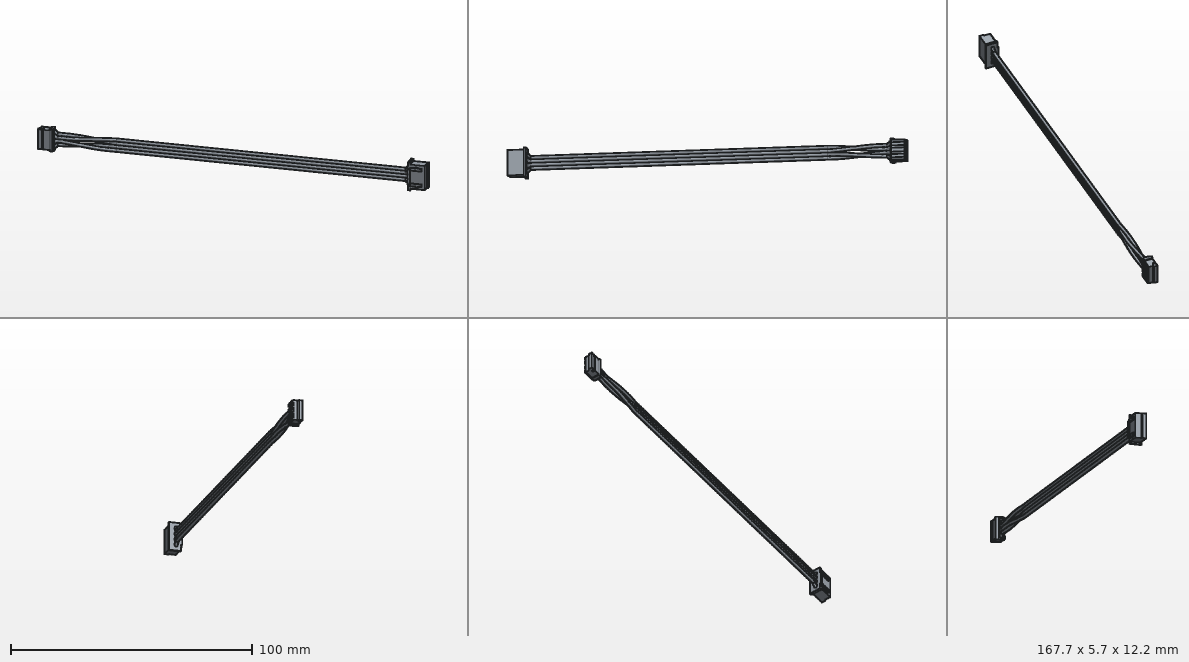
import cadquery as cq
import math


total_length = 167.7

wire_diameter = 1.5
wire_pitch = 1.5
left_contact_pitch = 2.2
right_contact_pitch = 2.3
fan_end_height = 2.0
fan_length = 1.5
twist_length = 25.2
cable_y = -0.2
wire_places = (-1.5, -0.5, 0.5, 1.5)

left_length = 6.7
left_half_height = 4.4
left_front_y = -2.3
left_back_y = 1.3
lip_length = 0.7
lip_top_y = -0.8
lip_slope_top_y = -0.3
groove_start_x = 1.7
groove_width = 0.7
groove_depth = 1.2
collar_start_x = 5.0
collar_ramp = 0.7
collar_taper = 0.5
collar_half_height = 4.9
collar_start_half_height = 4.7
collar_front_y = -2.5
collar_end_front_y = -1.3
collar_end_back_y = 0.8
rib_height = 0.5
rib_width = 1.0
inner_rib_z = 1.3
outer_rib_z = 3.7

flange_start_x = 159.9
flange_thickness = 1.0
flange_half_height = 6.12
plug_half_height = 5.4
plug_half_depth = 2.3
flange_back_y = 2.9
nose_length = 0.5
nose_front_y = 0.7
nose_slope_front_y = 0.3
tab_half_height = 3.4
rail_height = 0.5
rail_end_x = 165.9
rail_inner_z = 2.9
rail_outer_z = 4.0
bump_start_x = 163.2
bump_length = 1.0
bump_outer_z = 4.4

taper_start_x = left_length - collar_taper
flange_end_x = flange_start_x + flange_thickness
rail_front_y = -plug_half_depth - rail_height
twist_start_x = left_length + fan_length
twist_end_x = twist_start_x + twist_length
fan_start_x = flange_start_x - fan_length


def block(x_range, y_range, z_range):
    """A box between the given limits."""
    (x0, x1), (y0, y1), (z0, z1) = x_range, y_range, z_range
    return cq.Workplane("XY").box(x1 - x0, y1 - y0, z1 - z0, centered=False).translate((x0, y0, z0))


def section(x, y_range, half_height):
    """A rectangle across the X axis, as a wire to loft."""
    y0, y1 = y_range
    corners = [(x, y0, -half_height), (x, y1, -half_height), (x, y1, half_height), (x, y0, half_height)]
    return cq.Wire.makePolygon([cq.Vector(*corner) for corner in corners], close=True)


def make_left_housing():
    groove_end_x = groove_start_x + groove_width
    outline = [
        (0, left_front_y),
        (groove_start_x, left_front_y),
        (groove_start_x, left_front_y + groove_depth),
        (groove_end_x, left_front_y + groove_depth),
        (groove_end_x, left_front_y),
        (taper_start_x, left_front_y),
        (taper_start_x, left_back_y),
        (lip_length, left_back_y),
        (lip_length, lip_slope_top_y),
        (0, lip_top_y),
    ]
    housing = cq.Workplane("XY").polyline(outline).close().extrude(left_half_height, both=True)

    for rib_z in (-outer_rib_z, -inner_rib_z, inner_rib_z, outer_rib_z):
        rib = block(
            (lip_length, taper_start_x),
            (left_back_y, left_back_y + rib_height),
            (rib_z - rib_width / 2, rib_z + rib_width / 2),
        )
        housing = housing.union(rib)

    collar_y = (collar_front_y, left_back_y)
    collar_sections = [
        section(collar_start_x, (left_front_y, left_back_y), collar_start_half_height),
        section(collar_start_x + collar_ramp, collar_y, collar_half_height),
        section(taper_start_x, collar_y, collar_half_height),
        section(left_length, (collar_end_front_y, collar_end_back_y), collar_half_height),
    ]
    for start, end in zip(collar_sections, collar_sections[1:]):
        housing = housing.union(cq.Workplane(cq.Solid.makeLoft([start, end], True)))
    return housing


def make_right_housing():
    outline = [
        (flange_start_x, -plug_half_depth),
        (total_length - nose_length, -plug_half_depth),
        (total_length - nose_length, nose_slope_front_y),
        (total_length, nose_front_y),
        (total_length, plug_half_depth),
        (flange_start_x, plug_half_depth),
    ]
    housing = cq.Workplane("XY").polyline(outline).close().extrude(plug_half_height, both=True)

    flange_x = (flange_start_x, flange_end_x)
    flange = block(flange_x, (-plug_half_depth, flange_back_y), (-flange_half_height, flange_half_height))
    rail_y = (rail_front_y, -plug_half_depth)
    tab = block(flange_x, rail_y, (-tab_half_height, tab_half_height))
    housing = housing.union(flange).union(tab)

    rail = block((flange_end_x, rail_end_x), rail_y, (rail_inner_z, rail_outer_z))
    bump = block((bump_start_x, bump_start_x + bump_length), rail_y, (rail_outer_z, bump_outer_z))
    rail = rail.union(bump)
    return housing.union(rail).union(rail.mirror("XY"))


def wire_section(x, z, height=wire_diameter):
    """The outline of a wire across the X axis: round, or an upright oval when a height is given."""
    outline = cq.Workplane("YZ", origin=(x, cable_y, z)).ellipse(wire_diameter / 2, height / 2)
    return outline.wires().val()


def wire_between(start, end):
    return cq.Workplane(cq.Solid.makeLoft([start, end], True))


def twisted_wire(start_z):
    """A half turn about the middle of the wire's pair; the outer wire passes behind."""
    pair_z = math.copysign(wire_pitch, start_z)
    radius = wire_pitch / 2
    path = cq.Wire.makeHelix(2 * twist_length, twist_length, radius, lefthand=start_z > 0)
    coil = cq.Workplane("XY").center(radius, 0).circle(wire_diameter / 2).sweep(path, isFrenet=True)
    coil = coil.rotate((0, 0, 0), (0, 1, 0), 90)
    if start_z > pair_z:
        coil = coil.rotate((0, 0, 0), (1, 0, 0), 180)
    return coil.translate((twist_start_x, cable_y, pair_z))


def make_wire(place):
    start_z = place * wire_pitch
    pair_place = math.copysign(1, place)
    end_place = 2 * pair_place - place
    end_z = end_place * wire_pitch
    left_end = wire_section(left_length, place * left_contact_pitch, fan_end_height)
    left_fan = wire_between(left_end, wire_section(twist_start_x, start_z))
    flat_end = wire_section(fan_start_x, end_z)
    flat_run = wire_between(wire_section(twist_end_x, end_z), flat_end)
    right_end = wire_section(flange_start_x, end_place * right_contact_pitch, fan_end_height)
    right_fan = wire_between(flat_end, right_end)
    return left_fan.union(twisted_wire(start_z)).union(flat_run).union(right_fan)


left_housing = make_left_housing()
right_housing = make_right_housing()
wires = [make_wire(place) for place in wire_places]

result = cq.Compound.makeCompound(
    [left_housing.val(), right_housing.val(), *[wire.val() for wire in wires]]
)